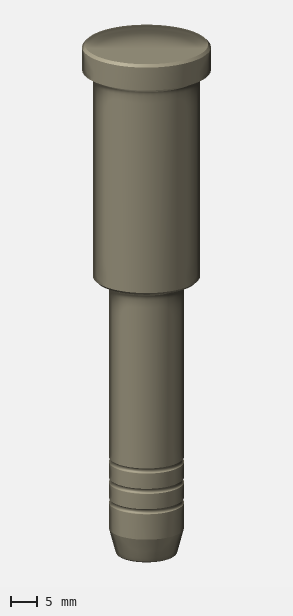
import cadquery as cq
import math

total_height = 100.0
head_thickness = 5.0
body_bottom = 54.0
head_bottom = total_height - head_thickness

head_radius = 12.0
body_radius = 10.0
shank_radius = 7.0

neck_height = 1.0
neck_radius = 6.5

head_chamfer = 0.5
body_chamfer = 0.5

taper_top = 5.0
taper_angle = math.radians(15)
tip_radius = shank_radius - taper_top * math.tan(taper_angle)
tip_fillet = 0.5

groove_count = 3
groove_pitch = 4.0
lowest_groove_height = 10.5
groove_radius = 0.5


def make_pin():
    """Revolve the stepped half-profile, listed from the tip up to the head, and round its tip."""
    profile = [
        (0, 0),
        (tip_radius, 0),
        (shank_radius, taper_top),
        (shank_radius, body_bottom - neck_height),
        (neck_radius, body_bottom - neck_height),
        (neck_radius, body_bottom),
        (body_radius - body_chamfer, body_bottom),
        (body_radius, body_bottom + body_chamfer),
        (body_radius, head_bottom),
        (head_radius, head_bottom),
        (head_radius, total_height - head_chamfer),
        (head_radius - head_chamfer, total_height),
        (0, total_height),
    ]
    pin = cq.Workplane("XZ").polyline(profile).close().revolve(360, (0, 0, 0), (0, 1, 0))
    return pin.faces("<Z").edges().fillet(tip_fillet)


def make_groove(surface_radius, center_height):
    """Half-round ring, to cut from a cylindrical surface at the given height."""
    top = center_height + groove_radius
    bottom = center_height - groove_radius
    floor = surface_radius - groove_radius
    outside = surface_radius + groove_radius
    arc_offset = groove_radius * math.sqrt(0.5)
    arc_middle = surface_radius - arc_offset
    return (
        cq.Workplane("XZ")
        .moveTo(outside, top)
        .lineTo(surface_radius, top)
        .threePointArc((arc_middle, center_height + arc_offset), (floor, center_height))
        .threePointArc((arc_middle, center_height - arc_offset), (surface_radius, bottom))
        .lineTo(outside, bottom)
        .close()
        .revolve(360, (0, 0, 0), (0, 1, 0))
    )


result = make_pin().cut(make_groove(body_radius, head_bottom - groove_radius))
for index in range(groove_count):
    ring_height = lowest_groove_height + index * groove_pitch
    result = result.cut(make_groove(shank_radius, ring_height))